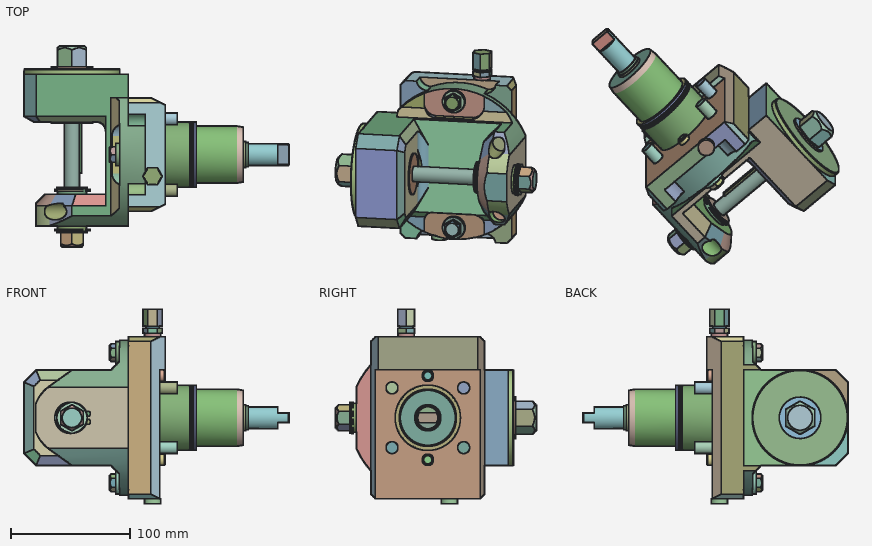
import math

import cadquery as cq


FLANGE_FRONT_X = -26.4
FLANGE_REAR_X = 4.7
FLANGE_HALF_Y = 47.6
FLANGE_HALF_Z = 68.0
FLANGE_CORNER = 4.0
SIDE_BEVEL_X = 12.2
SIDE_BEVEL_Y = 6.0
STEP_Z = 40.0
NOTCH_DEPTH_X = 14.2
NOTCH_HALF_Y = 34.0
NOTCH_FLOOR_Z = 60.4
NOTCH_RADIUS = 9.5

YOKE_RADIUS = 65.1
YOKE_MIN_Y = -59.9
YOKE_HALF_Z = 40.0
DISC_FRONT_X = -34.0
WEB_FRONT_X = -45.5
SLOPE_START_X = -41.0
SLOPE_HEIGHT = DISC_FRONT_X - SLOPE_START_X
POCKET_HALF_Y = 25.7
POCKET_FLOOR_X = -33.6
POCKET_FLOOR_Z = 41.0
POCKET_RADIUS = 10.0

BOLT_X = -73.6
ARM_INNER_Y = -33.0
ARM_TIP_X = -103.8
ARM_TIP_RADIUS = 32.5
ARM_BEVEL = 10.0
ARM_BEVEL_ANGLE = 45.0
BORE_Y = -47.7
BORE_Z = 29.9
BORE_RADIUS = 6.9
BORE_FLOOR_X = -70.0

BLOCK_INNER_Y = 27.2
BLOCK_OUTER_Y = 67.3
BLOCK_TIP_X = -113.8
BLOCK_CORNER = 10.2
BLOCK_BEVEL_Y = 4.8
BLOCK_BEVEL_IN = 8.4
BLOCK_FILLET = 7.5
SPOTFACE_RADIUS = 26.0
COVER_RADIUS = 40.2
COVER_THICKNESS = 4.5
COVER_CHAMFER = 0.6

BOLT_RADIUS = 6.5
BOLT_NUT_AF = 24.2
BOLT_NUT_END_Y = 91.1
BOLT_HEAD_AF = 19.0
BOLT_HEAD_END_Y = -77.4
HEX_FACE_RATIO = 0.86
WASHER_RADIUS = 17.4
WASHER_THICKNESS = 1.7
INNER_WASHER_THICKNESS = 1.0
KEY_END_Y = -15.5
KEY_WIDTH = 4.0
KEY_REACH = 8.2
BUSHING_RADIUS = 12.9
BUSHING_GROOVE_RADIUS = 12.3
BUSHING_PROJECTION = 5.5
RING_RADIUS = 13.2
RING_THICKNESS = 1.5
RING_OFFSET = 2.4
BUSHING_LIP_GAP = 0.5
RING_SHIFT_X = -1.2
LUG_RADIUS = 2.2
LUG_X = 13.3
LUG_Z = 3.4

SEAT_RADIUS = 27.4
SEAT_END_X = 30.6
GROOVE_RADIUS = 26.6
GROOVES_X = ((25.0, 26.0), (27.0, 28.2))
BODY_RADIUS = 24.0
BODY_END_X = 70.0
BODY_TAPER_X = 5.6
BODY_TAPER_R = 1.0
COLLAR_RADIUS = 11.0
COLLAR_END_X = 72.0
NECK_RADIUS = 10.2
NECK_END_X = 74.2
DRIVE_RADIUS = 9.2
DRIVE_END_X = 98.9
TANG_HALF_Z = 4.1
SPINDLE_END_X = 108.2
TANG_CHAMFER = 0.8

PIN_RADIUS = 5.0
PIN_Y = 30.0
PIN_Z = 25.0
PIN_END_X = 14.7
PEG_RADIUS = 4.75
PEG_Z = 35.2
PEG_CHAMFER = 1.2
SCREW_Z = 54.5
SCREW_WASHER_RADIUS = 9.4
SCREW_WASHER_THICKNESS = 3.4
SCREW_AF = 13.0
SCREW_HEAD_HEIGHT = 5.5
PORT_X = -6.1
PORT_OFFSET_Y = 18.1
PORT_RADIUS = 6.9
PLUG_END_Z = -72.0
FITTING_AF = 14.2
FITTING_NECK_RADIUS = 5.7
FITTING_LEVELS = (70.8, 75.0, 76.7, 91.0)


def box(x0, x1, y0, y1, z0, z1):
    """Axis-aligned box between opposite corners."""
    return cq.Workplane("XY").box(x1 - x0, y1 - y0, z1 - z0, centered=False).translate((x0, y0, z0))


def rod_x(radius, x0, x1, y=0.0, z=0.0):
    """Cylinder along X."""
    return cq.Workplane("YZ", origin=(x0, y, z)).circle(radius).extrude(x1 - x0)


def rod_y(radius, y0, y1, x=BOLT_X, z=0.0):
    """Cylinder along Y."""
    return cq.Workplane("XZ", origin=(x, y0, z)).circle(radius).extrude(y0 - y1)


def rod_z(radius, z0, z1, x, y):
    """Cylinder along Z."""
    return cq.Workplane("XY", origin=(x, y, z0)).circle(radius).extrude(z1 - z0)


def hex_prism(across_flats, height):
    """Hexagon along Z from Z = 0, with two corners on the X axis."""
    return cq.Workplane("XY").polygon(6, across_flats / math.cos(math.pi / 6)).extrude(height)


def hex_head(across_flats, height):
    """Hexagon along Z whose far corners are turned down by a 45 degree cone."""
    corner_radius = across_flats / 2 / math.cos(math.pi / 6)
    face_radius = HEX_FACE_RATIO * across_flats / 2
    envelope = cq.Workplane("XY").circle(corner_radius).extrude(height)
    envelope = envelope.faces(">Z").chamfer(corner_radius - face_radius)
    return hex_prism(across_flats, height).intersect(envelope)


def mirrored_z(shape):
    """The shape together with its mirror image below Z = 0."""
    return shape.union(shape.mirror("XY"))


def make_flange():
    """Flange plate: clipped corners, bevelled sides, thinner below the step, notched ends."""
    outline = [
        (FLANGE_FRONT_X, -FLANGE_HALF_Y),
        (FLANGE_REAR_X - SIDE_BEVEL_X, -FLANGE_HALF_Y),
        (FLANGE_REAR_X, SIDE_BEVEL_Y - FLANGE_HALF_Y),
        (FLANGE_REAR_X, FLANGE_HALF_Y - SIDE_BEVEL_Y),
        (FLANGE_REAR_X - SIDE_BEVEL_X, FLANGE_HALF_Y),
        (FLANGE_FRONT_X, FLANGE_HALF_Y),
    ]
    plate = cq.Workplane("XY", origin=(0, 0, -FLANGE_HALF_Z)).polyline(outline).close()
    plate = plate.extrude(2 * FLANGE_HALF_Z)
    clip = box(FLANGE_FRONT_X, FLANGE_REAR_X, -FLANGE_HALF_Y, FLANGE_HALF_Y, -FLANGE_HALF_Z, FLANGE_HALF_Z)
    plate = plate.intersect(clip.edges("|X").chamfer(FLANGE_CORNER))
    plate = plate.cut(box(0, FLANGE_REAR_X, -FLANGE_HALF_Y, FLANGE_HALF_Y, -FLANGE_HALF_Z, STEP_Z))
    notch = box(
        FLANGE_FRONT_X,
        FLANGE_FRONT_X + NOTCH_DEPTH_X,
        -NOTCH_HALF_Y,
        NOTCH_HALF_Y,
        NOTCH_FLOOR_Z,
        FLANGE_HALF_Z + NOTCH_RADIUS,
    )
    return plate.cut(mirrored_z(notch.edges("|X and <Z").fillet(NOTCH_RADIUS)))


def make_web():
    """Web and disc of the yoke, with sloped shoulders and a screw pocket in each shoulder."""
    profile = [
        (WEB_FRONT_X, 0),
        (WEB_FRONT_X, YOKE_HALF_Z),
        (SLOPE_START_X, YOKE_HALF_Z),
        (DISC_FRONT_X, YOKE_HALF_Z + SLOPE_HEIGHT),
        (DISC_FRONT_X, YOKE_RADIUS),
        (FLANGE_FRONT_X + NOTCH_DEPTH_X, YOKE_RADIUS),
        (FLANGE_FRONT_X + NOTCH_DEPTH_X, 0),
    ]
    web = cq.Workplane("XZ", origin=(0, FLANGE_HALF_Y, 0)).polyline(profile).close()
    web = mirrored_z(web.extrude(FLANGE_HALF_Y - YOKE_MIN_Y))
    web = web.cut(box(FLANGE_FRONT_X, 0, YOKE_MIN_Y, -FLANGE_HALF_Y, -YOKE_RADIUS, YOKE_RADIUS))
    pocket = box(WEB_FRONT_X, POCKET_FLOOR_X, -POCKET_HALF_Y, POCKET_HALF_Y, POCKET_FLOOR_Z, YOKE_RADIUS)
    web = web.cut(mirrored_z(pocket.edges("|X and <Z").fillet(POCKET_RADIUS)))
    return web.intersect(rod_x(YOKE_RADIUS, WEB_FRONT_X, 0))


def make_thin_arm():
    """Arm with a rounded, bevelled and flattened tip, clipped by the yoke cylinder."""
    tangent_angle = math.acos(ARM_TIP_RADIUS / YOKE_HALF_Z)
    tangent_x = BOLT_X - ARM_TIP_RADIUS * math.sin(tangent_angle)
    tangent_z = ARM_TIP_RADIUS * math.cos(tangent_angle)
    outline = (
        cq.Workplane("XZ", origin=(0, ARM_INNER_Y - ARM_BEVEL, 0))
        .moveTo(0, YOKE_HALF_Z)
        .lineTo(BOLT_X, YOKE_HALF_Z)
        .lineTo(tangent_x, tangent_z)
        .threePointArc((BOLT_X - ARM_TIP_RADIUS, 0), (tangent_x, -tangent_z))
        .lineTo(BOLT_X, -YOKE_HALF_Z)
        .lineTo(0, -YOKE_HALF_Z)
        .close()
    )
    straight = outline.extrude(ARM_INNER_Y - ARM_BEVEL - YOKE_MIN_Y)
    bevelled = outline.toPending().extrude(-ARM_BEVEL, taper=ARM_BEVEL_ANGLE)
    arm = straight.union(bevelled).intersect(rod_x(YOKE_RADIUS, ARM_TIP_X, FLANGE_FRONT_X))
    bore = rod_x(BORE_RADIUS, ARM_TIP_X, BORE_FLOOR_X, BORE_Y, BORE_Z)
    return arm.cut(mirrored_z(bore))


def make_thick_arm():
    """Block arm with clipped tip corners, bevelled inner edges, a filleted and spotfaced root and a cover."""
    block = box(BLOCK_TIP_X, FLANGE_FRONT_X, BLOCK_INNER_Y, BLOCK_OUTER_Y, -YOKE_HALF_Z, YOKE_HALF_Z)
    root_y = BLOCK_INNER_Y - BLOCK_FILLET
    root = (
        cq.Workplane("XY", origin=(0, 0, -YOKE_HALF_Z))
        .moveTo(WEB_FRONT_X - BLOCK_FILLET, BLOCK_INNER_Y)
        .radiusArc((WEB_FRONT_X, root_y), BLOCK_FILLET)
        .lineTo(WEB_FRONT_X, BLOCK_INNER_Y)
        .close()
        .extrude(2 * YOKE_HALF_Z)
    )
    bevel_y = BLOCK_INNER_Y + BLOCK_BEVEL_Y
    outline = (
        cq.Workplane("XZ", origin=(0, bevel_y, 0))
        .moveTo(0, YOKE_HALF_Z)
        .lineTo(BLOCK_TIP_X + BLOCK_CORNER, YOKE_HALF_Z)
        .lineTo(BLOCK_TIP_X, YOKE_HALF_Z - BLOCK_CORNER)
        .lineTo(BLOCK_TIP_X, BLOCK_CORNER - YOKE_HALF_Z)
        .lineTo(BLOCK_TIP_X + BLOCK_CORNER, -YOKE_HALF_Z)
        .lineTo(0, -YOKE_HALF_Z)
        .close()
    )
    bevel_angle = math.degrees(math.atan2(BLOCK_BEVEL_IN, BLOCK_BEVEL_Y))
    envelope = outline.extrude(bevel_y - BLOCK_OUTER_Y)
    envelope = envelope.union(outline.toPending().extrude(bevel_y - root_y, taper=bevel_angle))
    arm = block.union(root).intersect(envelope)
    arm = arm.cut(rod_y(SPOTFACE_RADIUS, root_y, BLOCK_INNER_Y))
    cover = rod_y(COVER_RADIUS, BLOCK_OUTER_Y, BLOCK_OUTER_Y + COVER_THICKNESS)
    return arm.union(cover.faces(">Y").chamfer(COVER_CHAMFER))


def make_bushing(face_y, outward):
    """Flanged bushing end with its retaining ring; outward is the sign of Y it projects along."""
    end_y = face_y + outward * BUSHING_PROJECTION
    ring_y = face_y + outward * RING_OFFSET
    ring_end_y = ring_y + outward * RING_THICKNESS
    lip_y = ring_end_y + outward * BUSHING_LIP_GAP
    bushing = rod_y(BUSHING_GROOVE_RADIUS, face_y, end_y)
    bushing = bushing.union(rod_y(BUSHING_RADIUS, lip_y, end_y))
    ring = rod_y(RING_RADIUS, ring_y, ring_end_y, BOLT_X + RING_SHIFT_X)
    lug = rod_y(LUG_RADIUS, ring_y, ring_end_y, BOLT_X + LUG_X, LUG_Z)
    return bushing.union(ring).union(mirrored_z(lug))


def make_clamping_bolt():
    """Bolt across both arms with its nut, head, washers, key and bushing ends."""
    washer_y = BLOCK_OUTER_Y + COVER_THICKNESS
    nut_y = washer_y + WASHER_THICKNESS
    head_y = YOKE_MIN_Y - BUSHING_PROJECTION
    bolt = rod_y(BOLT_RADIUS, head_y, nut_y)
    bolt = bolt.union(rod_y(WASHER_RADIUS, washer_y, nut_y))
    bolt = bolt.union(rod_y(WASHER_RADIUS, BLOCK_INNER_Y - INNER_WASHER_THICKNESS, BLOCK_INNER_Y))
    bolt = bolt.union(make_bushing(ARM_INNER_Y, 1)).union(make_bushing(YOKE_MIN_Y, -1))
    bolt = bolt.union(
        box(BOLT_X, BOLT_X + KEY_REACH, KEY_END_Y, BLOCK_INNER_Y, -KEY_WIDTH / 2, KEY_WIDTH / 2)
    )
    nut = hex_head(BOLT_NUT_AF, BOLT_NUT_END_Y - nut_y).rotate((0, 0, 0), (0, 0, 1), 90)
    nut = nut.rotate((0, 0, 0), (1, 0, 0), -90).translate((BOLT_X, nut_y, 0))
    head = hex_head(BOLT_HEAD_AF, head_y - BOLT_HEAD_END_Y).rotate((0, 0, 0), (0, 0, 1), 90)
    head = head.rotate((0, 0, 0), (1, 0, 0), 90).translate((BOLT_X, head_y, 0))
    return bolt.union(nut).union(head)


def make_spindle():
    """Stepped spindle with two narrow seat grooves and a flat driving tang."""
    profile = [(FLANGE_FRONT_X, 0), (FLANGE_FRONT_X, SEAT_RADIUS)]
    for groove_start, groove_end in GROOVES_X:
        profile += [
            (groove_start, SEAT_RADIUS),
            (groove_start, GROOVE_RADIUS),
            (groove_end, GROOVE_RADIUS),
            (groove_end, SEAT_RADIUS),
        ]
    profile += [
        (SEAT_END_X, SEAT_RADIUS),
        (SEAT_END_X, BODY_RADIUS),
        (BODY_END_X - BODY_TAPER_X, BODY_RADIUS),
        (BODY_END_X, BODY_RADIUS - BODY_TAPER_R),
        (BODY_END_X, COLLAR_RADIUS),
        (COLLAR_END_X, COLLAR_RADIUS),
        (COLLAR_END_X, NECK_RADIUS),
        (NECK_END_X, NECK_RADIUS),
        (NECK_END_X, DRIVE_RADIUS),
        (SPINDLE_END_X - TANG_CHAMFER, DRIVE_RADIUS),
        (SPINDLE_END_X, DRIVE_RADIUS - TANG_CHAMFER),
        (SPINDLE_END_X, 0),
    ]
    spindle = cq.Workplane("XY").polyline(profile).close().revolve(360, (0, 0, 0), (1, 0, 0))
    flat = box(DRIVE_END_X, SPINDLE_END_X, -DRIVE_RADIUS, DRIVE_RADIUS, TANG_HALF_Z, DRIVE_RADIUS)
    return spindle.cut(mirrored_z(flat))


def make_rear_pins():
    """Four long pins around the spindle seat and two short chamfered pegs above and below it."""
    pins = cq.Workplane("XY")
    for side in (-1, 1):
        pins = pins.union(mirrored_z(rod_x(PIN_RADIUS, FLANGE_FRONT_X, PIN_END_X, side * PIN_Y, PIN_Z)))
    peg = rod_x(PEG_RADIUS, FLANGE_FRONT_X, FLANGE_REAR_X, 0, PEG_Z)
    return pins.union(mirrored_z(peg.faces(">X").chamfer(PEG_CHAMFER)))


def make_yoke_screws():
    """Hexagon screws with washers in the two yoke pockets."""
    head_x = POCKET_FLOOR_X - SCREW_WASHER_THICKNESS
    washer = rod_x(SCREW_WASHER_RADIUS, head_x, POCKET_FLOOR_X, 0, SCREW_Z)
    head = hex_head(SCREW_AF, SCREW_HEAD_HEIGHT).rotate((0, 0, 0), (0, 1, 0), -90)
    return mirrored_z(washer.union(head.translate((head_x, 0, SCREW_Z))))


def make_coolant_ports():
    """Capped pipe fitting on the top of the flange and a plug underneath."""
    nut_start, nut_end, cap_start, cap_end = FITTING_LEVELS
    fitting = rod_z(PORT_RADIUS, FLANGE_HALF_Z, nut_start, PORT_X, -PORT_OFFSET_Y)
    fitting = fitting.union(rod_z(FITTING_NECK_RADIUS, nut_start, cap_end, PORT_X, -PORT_OFFSET_Y))
    for start, end in ((nut_start, nut_end), (cap_start, cap_end)):
        hexagon = hex_prism(FITTING_AF, end - start)
        fitting = fitting.union(hexagon.translate((PORT_X, -PORT_OFFSET_Y, start)))
    return fitting.union(rod_z(PORT_RADIUS, PLUG_END_Z, -FLANGE_HALF_Z, PORT_X, PORT_OFFSET_Y))


result = make_flange()
for component in (
    make_web(),
    make_thin_arm(),
    make_thick_arm(),
    make_clamping_bolt(),
    make_spindle(),
    make_rear_pins(),
    make_yoke_screws(),
    make_coolant_ports(),
):
    result = result.union(component)